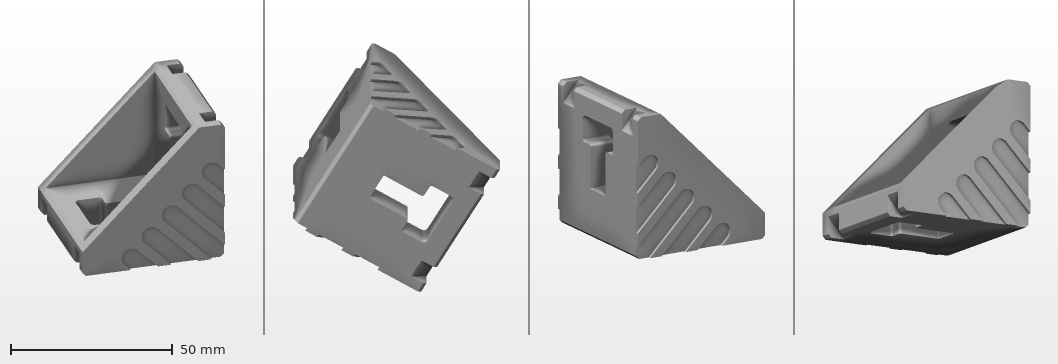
import cadquery as cq

WIDTH = 48.0
LEG = 46.0
END_FACE = 8.3
EDGE_CHAMFER = 1.1
EDGE_ROUNDING = 0.25

SIDE_WALL = 4.0
PLATE = 9.5
CAVITY_FILLET = 1.0

STEM_START = 15.8
HEAD_START = 30.0
HEAD_END = 38.7
STEM_WIDTH = 8.9
HEAD_WIDTH = 18.0
HEAD_OUTER_RADIUS = 1.5
HEAD_INNER_RADIUS = 0.8
NECK_RADIUS = 0.8
STEM_RADIUS = 0.3

NOTCH_WIDTH = 6.3
NOTCH_CENTER = 17.5
NOTCH_SPAN_Y = 5.5
NOTCH_SPAN_Z = 6.6

GROOVE_COUNT = 5
GROOVE_PITCH = 6.5
GROOVE_MIDDLE = 17.3
GROOVE_RADIUS = 3.1
GROOVE_DEPTH = 1.0
GROOVE_ANGLE = 135


def extrude_across(profile, width, center=0.0):
    """Extrude a profile drawn in (Y, Z) along X, centred on the given X."""
    return profile.extrude(width / 2, both=True).translate((center, 0, 0))


def make_body():
    outline = [
        (-EDGE_CHAMFER, 0),
        (EDGE_CHAMFER - LEG, 0),
        (-LEG, EDGE_CHAMFER),
        (-LEG, END_FACE),
        (-END_FACE, LEG),
        (-EDGE_CHAMFER, LEG),
        (0, LEG - EDGE_CHAMFER),
        (0, EDGE_CHAMFER),
    ]
    body = extrude_across(cq.Workplane("YZ").polyline(outline).close(), WIDTH)
    return body.edges("|X").fillet(EDGE_ROUNDING)


def make_cavity():
    block = cq.Workplane("XY").box(
        WIDTH - 2 * SIDE_WALL, LEG, LEG, centered=(True, False, False)
    )
    block = block.translate((0, -PLATE - LEG, PLATE))
    return block.edges("|X and >Y and <Z").fillet(CAVITY_FILLET)


def make_bolt_opening():
    """T-shaped cutter through the back plate."""
    half_stem = STEM_WIDTH / 2
    half_head = HEAD_WIDTH / 2
    outline = [
        (-half_stem, STEM_START),
        (half_stem, STEM_START),
        (half_stem, HEAD_START),
        (half_head, HEAD_START),
        (half_head, HEAD_END),
        (-half_head, HEAD_END),
        (-half_head, HEAD_START),
        (-half_stem, HEAD_START),
    ]
    cutter = cq.Workplane("XZ").polyline(outline).close().extrude(PLATE)
    for side in (-1, 1):
        rounded_corners = [
            (half_stem, STEM_START, STEM_RADIUS),
            (half_stem, HEAD_START, NECK_RADIUS),
            (half_head, HEAD_START, HEAD_INNER_RADIUS),
            (half_head, HEAD_END, HEAD_OUTER_RADIUS),
        ]
        for x, z, radius in rounded_corners:
            corner = cq.selectors.NearestToPointSelector((side * x, -PLATE / 2, z))
            cutter = cutter.edges(corner).fillet(radius)
    return cutter


def swap_legs(shape):
    """Mirror a shape from the back leg to the base leg, about the 45 degree plane."""
    turned = shape.rotate((0, 0, 0), (1, 0, 0), 90)
    return turned.mirror("XY")


def make_notch(outline, side):
    profile = cq.Workplane("YZ").polyline(outline).close()
    return extrude_across(profile, NOTCH_WIDTH, side * NOTCH_CENTER)


def cut_notches(body):
    back_notch = [(0, LEG), (-NOTCH_SPAN_Y, LEG), (0, LEG - NOTCH_SPAN_Z)]
    base_notch = [(-LEG, 0), (-LEG, NOTCH_SPAN_Z), (NOTCH_SPAN_Y - LEG, 0)]
    for side in (-1, 1):
        body = body.cut(make_notch(back_notch, side))
        body = body.cut(make_notch(base_notch, side))
    return body


def make_groove(y, z):
    """Diagonal slot with a round end at (y, z), running out through the outer faces."""
    slot = cq.Workplane("YZ").center(-LEG / 2, 0).rect(LEG, 2 * GROOVE_RADIUS)
    slot = extrude_across(slot, 2 * GROOVE_DEPTH)
    round_end = extrude_across(cq.Workplane("YZ").circle(GROOVE_RADIUS), 2 * GROOVE_DEPTH)
    groove = slot.union(round_end).rotate((0, 0, 0), (1, 0, 0), GROOVE_ANGLE)
    return groove.translate((0, y, z))


def cut_grooves(body):
    for index in range(GROOVE_COUNT):
        offset = (index - (GROOVE_COUNT - 1) / 2) * GROOVE_PITCH
        groove = make_groove(-GROOVE_MIDDLE - offset, GROOVE_MIDDLE - offset)
        for side in (-1, 1):
            body = body.cut(groove.translate((side * WIDTH / 2, 0, 0)))
    return body


bracket = make_body().cut(make_cavity())
back_opening = make_bolt_opening()
bracket = bracket.cut(back_opening).cut(swap_legs(back_opening))
bracket = cut_notches(bracket)
result = cut_grooves(bracket)